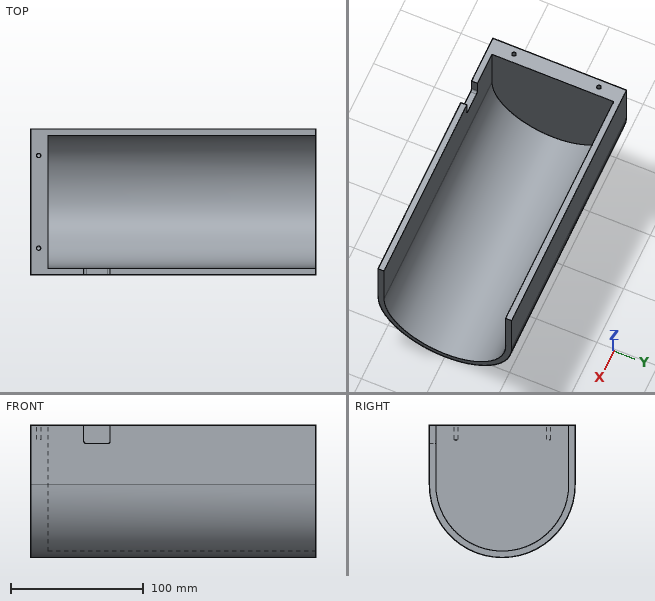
import cadquery as cq
import math

length = 215.0
outer_radius = 55.0
height = 100.0
wall = 5.0
end_wall = 13.0

notch_start = 40.0
notch_width = 20.0
notch_depth = 14.0
notch_corner_radius = 2.0

hole_diameter = 3.2
hole_depth = 10.8
drill_point_angle = 118
hole_spacing = 69.9
hole_inset = 6.0

inner_radius = outer_radius - wall


def u_prism(radius, start_x, end_x):
    """U-shaped prism along X, with its arc centred at outer_radius above the base."""
    return (
        cq.Workplane("YZ", origin=(start_x, 0, 0))
        .moveTo(-radius, height)
        .lineTo(-radius, outer_radius)
        .threePointArc((0, outer_radius - radius), (radius, outer_radius))
        .lineTo(radius, height)
        .close()
        .extrude(end_x - start_x)
    )


trough = u_prism(outer_radius, 0, length).cut(u_prism(inner_radius, end_wall, length))

notch = (
    cq.Workplane("XY")
    .box(notch_width, 2 * wall, notch_depth, centered=(False, True, False))
    .edges("|Y and <Z")
    .fillet(notch_corner_radius)
    .translate((notch_start, -outer_radius, height - notch_depth))
)

hole_radius = hole_diameter / 2
tip_depth = hole_radius / math.tan(math.radians(drill_point_angle / 2))
drill = (
    cq.Workplane("XZ")
    .polyline([(0, 0), (hole_radius, 0), (hole_radius, -hole_depth), (0, -hole_depth - tip_depth)])
    .close()
    .revolve(360, (0, 0, 0), (0, 1, 0))
)
result = trough.cut(notch)
for side in (-1, 1):
    result = result.cut(drill.translate((hole_inset, side * hole_spacing / 2, height)))